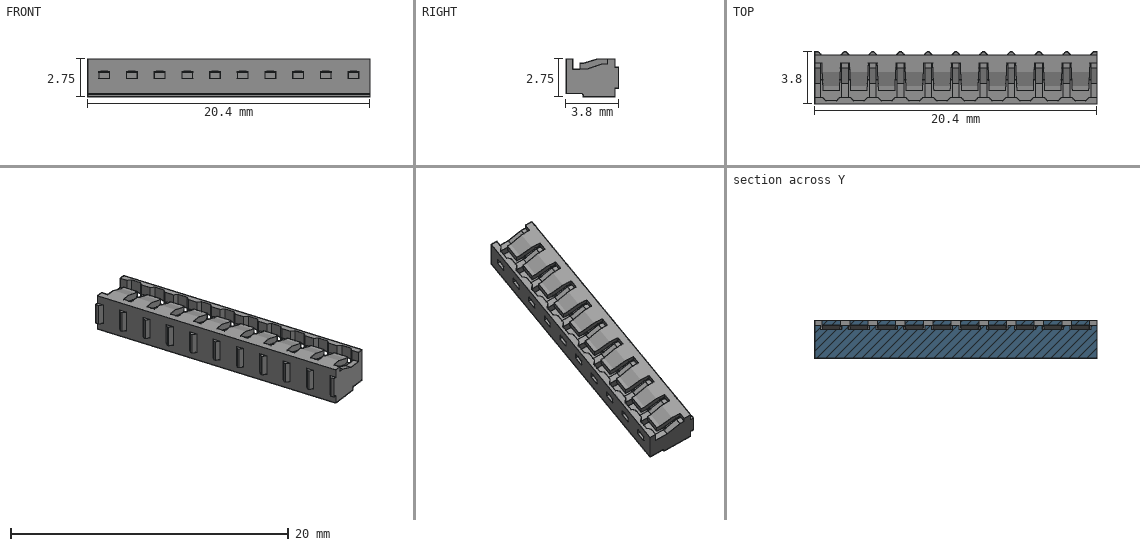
import cadquery as cq


length = 20.4
height = 2.75
overall_depth = 3.8
ways = 10
pitch = 2.0
key_projection = 0.25
body_depth = overall_depth - key_projection

step_depth = 1.22
step_height = 0.25
step_bevel = 0.08

divider_width = 0.49
divider_floor = height - 0.75
divider_slope_start = 1.49
divider_slope_end = 2.61
divider_shelf = height - 0.37

front_wall = 0.49
slot_back = 2.98

arm_root_width = 1.37
arm_tip_width = 1.18
arm_tip_front = 1.0
arm_slope_start = 1.29
arm_slope_end = 2.28
arm_tip_top = height - 0.3

trough_width = pitch - divider_width
trough_floor = height - 1.4
trough_back = 1.73
trough_ramp_start = height - 0.92
trough_bevel = 0.06
trough_ramp_end = height - 0.6

relief_front = 0.25
relief_width = 0.78
relief_mouth_width = relief_width + 2 * (front_wall - relief_front)
window_width = 0.75
window_side_top = height - 0.94
window_crown = height - 0.88

key_root_width = 0.61
key_crest_width = 0.12
key_bottom = 0.61
key_top = height - 0.61


def extrude_along_x(points, width, center):
    """Extrude a closed Y-Z outline symmetrically about the given X position."""
    return cq.Workplane("YZ", origin=(center - width / 2, 0, 0)).polyline(points).close().extrude(width)


def extrude_up(points, bottom, top, center=0):
    """Extrude a closed X-Y outline between two heights."""
    return cq.Workplane("XY", origin=(center, 0, bottom)).polyline(points).close().extrude(top - bottom)


def make_block():
    """Stepped bar, full height before the top is opened."""
    return extrude_along_x(
        [
            (0, step_height),
            (step_depth - step_bevel, step_height),
            (step_depth, step_height - step_bevel),
            (step_depth, 0),
            (body_depth, 0),
            (body_depth, height),
            (0, height),
        ],
        length,
        0,
    )


def make_opening():
    """Space above the divider tops, running the whole length."""
    return extrude_along_x(
        [
            (front_wall, height),
            (front_wall, divider_floor),
            (divider_slope_start, divider_floor),
            (divider_slope_end, divider_shelf),
            (slot_back, divider_shelf),
            (slot_back, height),
        ],
        length,
        0,
    )


def make_trough(center):
    """Cavity in front of and beneath one arm, with a bevelled ramp at the back."""
    cavity = extrude_along_x(
        [
            (front_wall, trough_floor),
            (trough_back, trough_floor),
            (trough_back, trough_ramp_start - trough_bevel),
            (trough_back + trough_bevel, trough_ramp_start),
            (slot_back, trough_ramp_end),
            (slot_back, divider_shelf),
            (divider_slope_end, divider_shelf),
            (divider_slope_start, divider_floor),
            (front_wall, divider_floor),
        ],
        trough_width,
        center,
    )
    relief = extrude_up(
        [
            (-relief_width / 2, relief_front),
            (relief_width / 2, relief_front),
            (relief_mouth_width / 2, front_wall),
            (-relief_mouth_width / 2, front_wall),
        ],
        trough_floor,
        height,
        center,
    )
    return cavity.union(relief)


def make_window(center):
    """Wire entry through the front wall, with a slightly arched top."""
    half_width = window_width / 2
    return (
        cq.Workplane("XZ", origin=(center, 0, 0))
        .moveTo(-half_width, trough_floor)
        .lineTo(half_width, trough_floor)
        .lineTo(half_width, window_side_top)
        .threePointArc((0, window_crown), (-half_width, window_side_top))
        .close()
        .extrude(-front_wall)
    )


def make_arm(center):
    """Sloped arm rooted in the back of the housing and narrowing to its tip."""
    side_shape = extrude_along_x(
        [
            (arm_tip_front, divider_floor),
            (divider_slope_start, divider_floor),
            (divider_slope_end, divider_shelf),
            (slot_back, divider_shelf),
            (slot_back, height),
            (arm_slope_end, height),
            (arm_slope_start, arm_tip_top),
            (arm_tip_front, arm_tip_top),
        ],
        arm_root_width,
        center,
    )
    plan_shape = extrude_up(
        [
            (-arm_tip_width / 2, arm_tip_front),
            (arm_tip_width / 2, arm_tip_front),
            (arm_root_width / 2, slot_back),
            (-arm_root_width / 2, slot_back),
        ],
        0,
        height,
        center,
    )
    return side_shape.intersect(plan_shape)


def make_key(center):
    """Tapered key between two contacts."""
    return extrude_up(
        [
            (-key_root_width / 2, body_depth),
            (key_root_width / 2, body_depth),
            (key_crest_width / 2, overall_depth),
            (-key_crest_width / 2, overall_depth),
        ],
        key_bottom,
        key_top,
        center,
    )


def make_end_key(side):
    """Key at one end of the row, filled out flush with the end face."""
    end_face = side * length / 2
    divider_center = side * ways * pitch / 2
    return extrude_up(
        [
            (end_face, body_depth),
            (divider_center - side * key_root_width / 2, body_depth),
            (divider_center - side * key_crest_width / 2, overall_depth),
            (end_face, overall_depth),
        ],
        key_bottom,
        key_top,
    )


contact_centers = [(i - (ways - 1) / 2) * pitch for i in range(ways)]
inner_divider_centers = [(i - ways / 2) * pitch for i in range(1, ways)]

result = make_block().cut(make_opening())

for contact in contact_centers:
    result = result.cut(make_trough(contact)).cut(make_window(contact))
    result = result.union(make_arm(contact))

for divider in inner_divider_centers:
    result = result.union(make_key(divider))

for end in (-1, 1):
    result = result.union(make_end_key(end))